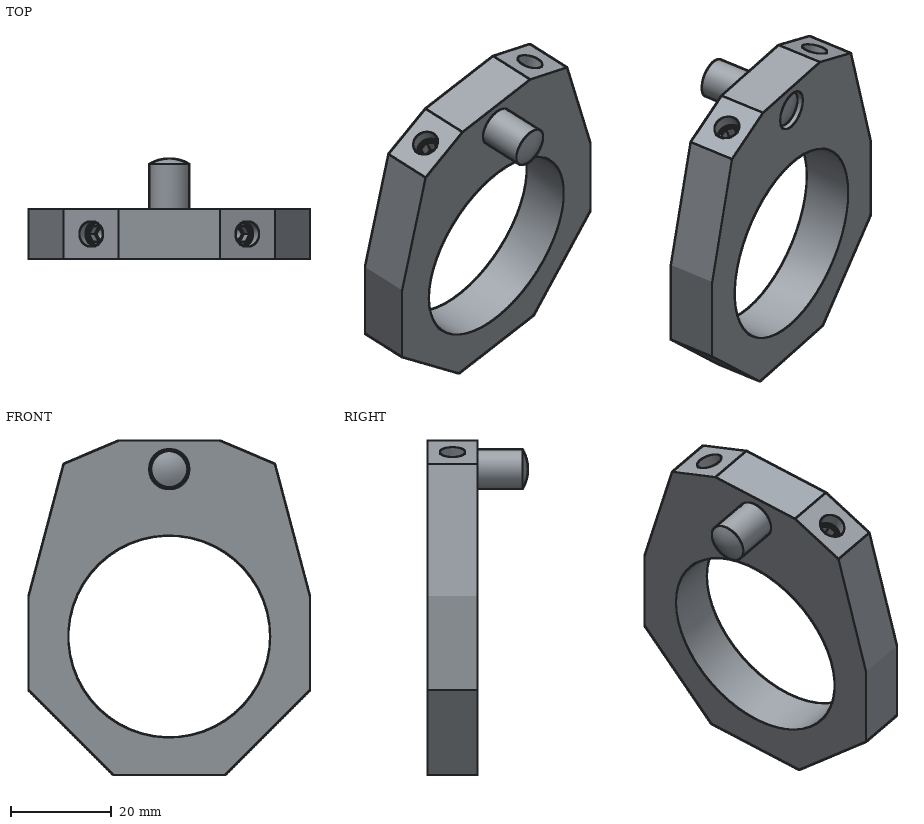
import cadquery as cq
import math


plate_thickness = 10.0
bore_radius = 20.0
half_width = 28.0
top_z = 39.0
bottom_z = top_z - 66.5
top_half_width = 10.05
shoulder_half_width = 21.0
shoulder_drop = 4.65
side_top_z = 8.0
bottom_corner = 16.9

pin_radius = 4.0
pin_z = top_z - 5.7
pin_back_y = plate_thickness + 10.05
rear_dome_height = 1.1
front_rim_y = 1.0
front_dome_height = 0.8
chamfer_length = 1.25
chamfer_inset = 0.4

recess_radius = 2.5
recess_depth = 3.05
groove_size = 0.3
socket_across_flats = 3.0
socket_depth = 3.25
countersink_slope = 30.0
drill_point_radius = 1.25
drill_point_slope = 30.0


def make_plate_blank():
    shoulder_z = top_z - shoulder_drop
    right_side = [
        (top_half_width, top_z),
        (shoulder_half_width, shoulder_z),
        (half_width, side_top_z),
        (half_width, bottom_z + bottom_corner),
        (half_width - bottom_corner, bottom_z),
    ]
    left_side = [(-x, z) for x, z in reversed(right_side)]
    return (
        cq.Workplane("XZ")
        .polyline(right_side + left_side)
        .close()
        .extrude(-plate_thickness)
    )


def make_bore():
    return cq.Workplane("XZ").circle(bore_radius).extrude(-plate_thickness)


def make_screw_recess(side):
    """Cutter for one shoulder; side is 1 for +X and -1 for -X."""
    shoulder_run = shoulder_half_width - top_half_width
    middle = cq.Vector(
        side * (top_half_width + shoulder_half_width) / 2,
        plate_thickness / 2,
        top_z - shoulder_drop / 2,
    )
    outward = cq.Vector(side * shoulder_drop, 0, shoulder_run)
    shoulder_plane = cq.Plane(origin=middle, xDir=(0, 1, 0), normal=outward)

    socket_apothem = socket_across_flats / 2
    countersink_radius = socket_across_flats / math.sqrt(3)
    countersink_depth = (countersink_radius - socket_apothem) * math.tan(math.radians(countersink_slope))
    drill_point_depth = drill_point_radius * math.tan(math.radians(drill_point_slope))
    floor = -recess_depth
    crest = floor + groove_size
    socket_floor = crest - socket_depth
    round_part = (
        cq.Workplane(shoulder_plane.rotated((90, 0, 0)))
        .polyline(
            [
                (0, 0),
                (recess_radius, 0),
                (recess_radius, floor),
                (recess_radius - groove_size, crest),
                (countersink_radius, crest),
                (socket_apothem, crest - countersink_depth),
                (drill_point_radius, crest - countersink_depth),
                (drill_point_radius, socket_floor),
                (0, socket_floor - drill_point_depth),
            ]
        )
        .close()
        .revolve(360, (0, 0), (0, 1))
    )
    socket = (
        cq.Workplane(shoulder_plane)
        .workplane(offset=crest)
        .polygon(6, socket_across_flats, circumscribed=True)
        .extrude(-socket_depth)
    )
    return round_part.union(socket)


def dome_midpoint(rim_radius, height):
    """Radius, and distance beyond the rim, halfway along a dome's arc."""
    sphere_radius = (rim_radius**2 + height**2) / (2 * height)
    half_angle = math.asin(rim_radius / sphere_radius) / 2
    reach = sphere_radius * math.cos(half_angle) - (sphere_radius - height)
    return sphere_radius * math.sin(half_angle), reach


def make_pin():
    front_rim_radius = pin_radius - chamfer_inset
    rear_rim_y = pin_back_y - rear_dome_height
    front_radius, front_reach = dome_midpoint(front_rim_radius, front_dome_height)
    rear_radius, rear_reach = dome_midpoint(pin_radius, rear_dome_height)
    return (
        cq.Workplane("XY")
        .moveTo(0, front_rim_y - front_dome_height)
        .threePointArc((front_radius, front_rim_y - front_reach), (front_rim_radius, front_rim_y))
        .lineTo(pin_radius, front_rim_y + chamfer_length)
        .lineTo(pin_radius, rear_rim_y)
        .threePointArc((rear_radius, rear_rim_y + rear_reach), (0, pin_back_y))
        .close()
        .revolve(360, (0, 0), (0, 1))
        .translate((0, 0, pin_z))
    )


def make_pin_hole():
    return (
        cq.Workplane("XZ")
        .center(0, pin_z)
        .circle(pin_radius)
        .extrude(-plate_thickness)
    )


plate = make_plate_blank().cut(make_bore()).cut(make_pin_hole())
for side in (-1, 1):
    plate = plate.cut(make_screw_recess(side))

pin = make_pin()

result = cq.Compound.makeCompound([plate.val(), pin.val()])